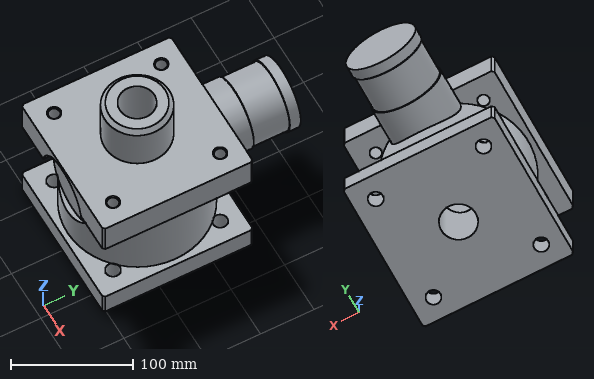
import cadquery as cq

plate_width = 140
corner_chamfer = 2
base_thickness = 22
body_diameter = 130
body_height = 70
top_plate_thickness = 30
top_plate_bottom = base_thickness + body_height
top_plate_top = top_plate_bottom + top_plate_thickness

total_height = 167
neck_diameter = 60
neck_height = total_height - top_plate_top
neck_chamfer = 4
bore_diameter = 32

hole_spacing = 100
base_hole_diameter = 13
top_hole_diameter = 10.11
countersink_diameter = 12
countersink_angle = 90

plunger_diameter = 65
plunger_axis_height = 86
plunger_front = -60
plunger_back = 135
groove_diameter = 62.74
groove_start = 91.15
groove_end = 124.85

cross_bore_diameter = 65.01


def square_plate(bottom, thickness):
    """Square plate with chamfered vertical corners, standing on the height `bottom`."""
    plate = cq.Workplane("XY", origin=(0, 0, bottom)).rect(plate_width, plate_width).extrude(thickness)
    return plate.edges("|Z").chamfer(corner_chamfer)


def round_post(diameter, bottom, height):
    """Upright cylinder on the Z axis."""
    return cq.Workplane("XY", origin=(0, 0, bottom)).circle(diameter / 2).extrude(height)


def rod_along_y(diameter, start, end):
    """Cylinder on the plunger axis, from Y = start to Y = end."""
    plane = cq.Workplane("XZ", origin=(0, start, plunger_axis_height))
    return plane.circle(diameter / 2).extrude(start - end)


def hole_pattern(plate):
    """Select the four corner hole centres on the top face of a plate."""
    top_face = plate.faces(">Z").workplane(origin=(0, 0, 0))
    return top_face.rect(hole_spacing, hole_spacing, forConstruction=True).vertices()


def make_housing(vertical_bore):
    """Base plate, round body, top plate and neck, bored along Z and along Y."""
    base = hole_pattern(square_plate(0, base_thickness)).hole(base_hole_diameter)
    top_plate = hole_pattern(square_plate(top_plate_bottom, top_plate_thickness)).cskHole(
        top_hole_diameter, countersink_diameter, countersink_angle
    )
    body = round_post(body_diameter, base_thickness, body_height)
    neck = round_post(neck_diameter, top_plate_top, neck_height).faces(">Z").chamfer(neck_chamfer)
    cross_bore = rod_along_y(cross_bore_diameter, -plate_width / 2, plate_width / 2)
    return base.union(body).union(top_plate).union(neck).cut(vertical_bore).cut(cross_bore)


def make_plunger(vertical_bore):
    """Rod with a shallow groove near its back end and the vertical bore across it."""
    front = rod_along_y(plunger_diameter, plunger_front, groove_start)
    groove_core = rod_along_y(groove_diameter, groove_start, groove_end)
    back = rod_along_y(plunger_diameter, groove_end, plunger_back)
    return front.union(groove_core).union(back).cut(vertical_bore)


vertical_bore = round_post(bore_diameter, 0, total_height)
housing = make_housing(vertical_bore)
plunger = make_plunger(vertical_bore)

result = cq.Compound.makeCompound([housing.val(), plunger.val()])